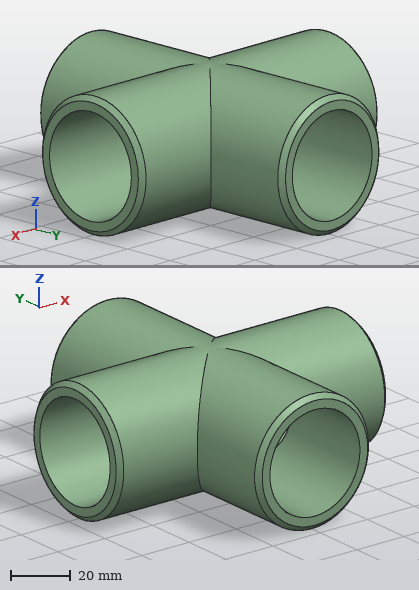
import cadquery as cq

span = 114.3
outer_diameter = 48.3
bore_diameter = 38.2
end_chamfer = 1.8


def centred_cylinder(plane, diameter):
    """Cylinder of full span, centred on the origin, normal to the plane."""
    return cq.Workplane(plane).circle(diameter / 2).extrude(span / 2, both=True)


def bevelled_pipe_blank(plane):
    """Solid run of pipe with both end rims bevelled."""
    return centred_cylinder(plane, outer_diameter).edges("%CIRCLE").chamfer(end_chamfer)


run_planes = ("YZ", "XZ")

result = bevelled_pipe_blank(run_planes[0]).union(bevelled_pipe_blank(run_planes[1]))
for run_plane in run_planes:
    result = result.cut(centred_cylinder(run_plane, bore_diameter))